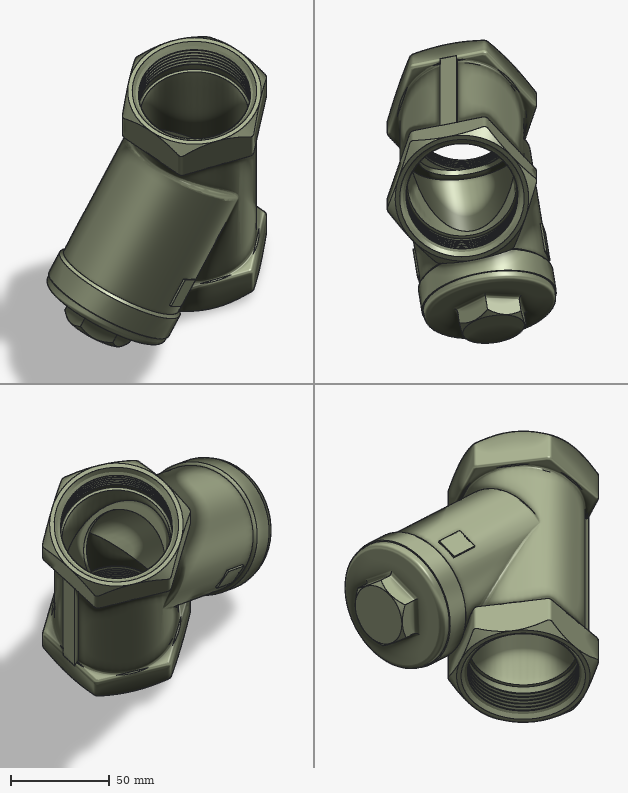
import cadquery as cq
import math

LENGTH = 140.0
PIPE_RADIUS = 31.5
BORE_RADIUS = 27.7
HEX_FLATS = 67.9
UPPER_HEX_HEIGHT = 22.1
LOWER_HEX_HEIGHT = 21.0
HEX_CORNER_FILLET = 2.8
HEX_EDGE_FILLET = 2.1
PIPE_FILLET = 1.4

COUNTERSINK_RADIUS = 31.6
THREAD_CREST_RADIUS = 28.4
THREAD_ROOT_RADIUS = 29.8
THREAD_PITCH = 2.4
THREAD_CREST_WIDTH = 0.5
THREAD_TURNS = 6
RELIEF_RADIUS = 29.3
SOCKET_DEPTH = 20.5

RIB_WIDTH = 8.4
RIB_REACH = 34.0

BRANCH_HEIGHT = 95.6
SEAT_STATION = 8.0
SEAT_THICKNESS = 3.0
SEAT_HOLE_RADIUS = 24.0
BRANCH_RADIUS = 33.0
BRANCH_START = 11.2
BRANCH_START_FILLET = 3.2
BRANCH_FILLET = 1.8
CHAMBER_RADIUS = 29.1
COLLAR_STEP = 1.5
COLLAR_START = 81.5
COLLAR_END = 95.0

LABEL_STATION = 68.5
LABEL_LENGTH = 15.7
LABEL_WIDTH = 11.6
LABEL_REACH = 33.6

CAP_RADIUS = 33.9
CAP_THICKNESS = 5.0
CAP_EDGE_FILLET = 2.5
KEY_FLATS = 32.0
KEY_END_RADIUS = 15.8
KEY_HEIGHT = 10.9
KEY_BASE_FILLET = 2.0

TOLERANCE = 0.001

BRANCH_DIRECTION = cq.Vector(0, -1, -1)
OUTER_END = cq.selectors.DirectionMinMaxSelector(BRANCH_DIRECTION)
INNER_END = cq.selectors.DirectionMinMaxSelector(-BRANCH_DIRECTION)

HEX_CORNERS = HEX_FLATS / math.cos(math.radians(30))
KEY_CORNERS = KEY_FLATS / math.cos(math.radians(30))
COLLAR_RADIUS = BRANCH_RADIUS + COLLAR_STEP
CHAMBER_START = SEAT_STATION + SEAT_THICKNESS


def branch_plane(station):
    """Plane square to the branch axis, at a distance from the pipe axis, facing outward."""
    axis = cq.Plane(origin=(0, 0, BRANCH_HEIGHT), xDir=(1, 0, 0), normal=BRANCH_DIRECTION)
    return cq.Workplane(axis).workplane(offset=station)


def top_to_bottom(shape):
    """The matching shape at the other end of the pipe."""
    return shape.mirror("XY", (0, 0, LENGTH / 2))


def chamfer_cone(end_radius, height):
    """Solid of revolution along +Z whose far end is chamfered at 45 degrees from end_radius."""
    wide = end_radius + height
    profile = cq.Workplane("XZ").polyline([(0, 0), (wide, 0), (end_radius, height), (0, height)])
    return profile.close().revolve(360, (0, 0, 0), (0, 1, 0))


def end_hexagon(height):
    """Hexagon at the top of the pipe, with rounded corners and its outer end chamfered to the flats."""
    hexagon = cq.Workplane("XY", origin=(0, 0, LENGTH - height)).polygon(6, HEX_CORNERS)
    hexagon = hexagon.extrude(height).edges("|Z").fillet(HEX_CORNER_FILLET)
    hexagon = hexagon.faces("<Z").edges().fillet(HEX_EDGE_FILLET)
    cone = chamfer_cone(HEX_FLATS / 2, height).translate((0, 0, LENGTH - height))
    return hexagon.intersect(cone)


def corner_cove(height):
    """Rounded corner between the pipe and the underside of the hexagon at its top."""
    level = LENGTH - height
    rim = PIPE_RADIUS + PIPE_FILLET
    bend = PIPE_FILLET * math.sqrt(0.5)
    profile = (
        cq.Workplane("XZ")
        .moveTo(0, level)
        .lineTo(rim, level)
        .threePointArc((rim - bend, level - PIPE_FILLET + bend), (PIPE_RADIUS, level - PIPE_FILLET))
        .lineTo(0, level - PIPE_FILLET)
        .close()
    )
    return profile.revolve(360, (0, 0, 0), (0, 1, 0))


def branch():
    """Branch barrel, its inner end rounded where it stands proud of the pipe."""
    barrel = branch_plane(BRANCH_START).circle(BRANCH_RADIUS).extrude(COLLAR_END - BRANCH_START)
    return barrel.faces(INNER_END).edges().fillet(BRANCH_START_FILLET)


def pipe_with_branch():
    """Pipe and branch joined, with a fillet all along the joint."""
    joined = cq.Workplane("XY").circle(PIPE_RADIUS).extrude(LENGTH).union(branch())
    joint = [edge for edge in joined.edges().vals() if edge.geomType() in ("BSPLINE", "ELLIPSE")]
    return joined.newObject(joint).fillet(BRANCH_FILLET)


def collar():
    """Thicker ring at the outer end of the branch, chamfered toward the branch."""
    ring = branch_plane(COLLAR_START).circle(COLLAR_RADIUS).extrude(COLLAR_END - COLLAR_START)
    return ring.faces(INNER_END).edges().chamfer(COLLAR_STEP)


def rib():
    """Flat rib down the back of the pipe, from hexagon to hexagon."""
    start = LOWER_HEX_HEIGHT - HEX_EDGE_FILLET
    height = LENGTH - UPPER_HEX_HEIGHT + HEX_EDGE_FILLET - start
    base = cq.Workplane("XY", origin=(0, 0, start))
    return base.center(0, RIB_REACH / 2).rect(RIB_WIDTH, RIB_REACH).extrude(height)


def labels():
    """Raised plates for lettering, as one bar through the branch."""
    bar = branch_plane(LABEL_STATION - LABEL_LENGTH / 2).rect(2 * LABEL_REACH, LABEL_WIDTH)
    return bar.extrude(LABEL_LENGTH)


def threaded_socket():
    """Space of the upper socket: countersink, thread ridges and a plain stretch below them."""
    thread_top = LENGTH - (COUNTERSINK_RADIUS - THREAD_ROOT_RADIUS)
    flank = (THREAD_PITCH - THREAD_CREST_WIDTH) / 2
    points = [(0, LENGTH), (COUNTERSINK_RADIUS, LENGTH), (THREAD_ROOT_RADIUS, thread_top)]
    for turn in range(THREAD_TURNS):
        start = thread_top - turn * THREAD_PITCH
        points += [
            (THREAD_CREST_RADIUS, start - flank),
            (THREAD_CREST_RADIUS, start - flank - THREAD_CREST_WIDTH),
            (THREAD_ROOT_RADIUS, start - THREAD_PITCH),
        ]
    thread_bottom = thread_top - THREAD_TURNS * THREAD_PITCH
    socket_floor = LENGTH - SOCKET_DEPTH
    points += [(RELIEF_RADIUS, thread_bottom), (RELIEF_RADIUS, socket_floor), (0, socket_floor)]
    return cq.Workplane("XZ").polyline(points).close().revolve(360, (0, 0, 0), (0, 1, 0))


def cavity():
    """All the inside space: bore and chamber on either side of the seat wall, and the sockets."""
    bore = cq.Workplane("XY").circle(BORE_RADIUS).extrude(LENGTH)
    seat_wall = branch_plane(SEAT_STATION).rect(2 * LENGTH, 2 * LENGTH).extrude(SEAT_THICKNESS)
    seat_hole = branch_plane(SEAT_STATION).circle(SEAT_HOLE_RADIUS).extrude(SEAT_THICKNESS)
    chamber = branch_plane(CHAMBER_START).circle(CHAMBER_RADIUS).extrude(COLLAR_END - CHAMBER_START)
    socket = threaded_socket()
    space = bore.cut(seat_wall).union(seat_hole).union(chamber)
    return space.union(socket).union(top_to_bottom(socket))


def make_body():
    """Housing: pipe, hexagon ends, branch and rib, hollowed out around the seat wall."""
    upper_hexagon = end_hexagon(UPPER_HEX_HEIGHT).union(corner_cove(UPPER_HEX_HEIGHT))
    lower_hexagon = top_to_bottom(end_hexagon(LOWER_HEX_HEIGHT).union(corner_cove(LOWER_HEX_HEIGHT)))
    solid = pipe_with_branch().union(lower_hexagon, tol=TOLERANCE)
    solid = solid.union(upper_hexagon).union(rib()).union(collar()).union(labels())
    return solid.cut(cavity())


def make_cap():
    """Cap closing the branch: a round flange with a chamfered hexagon to turn it by."""
    cap_end = COLLAR_END + CAP_THICKNESS
    flange = branch_plane(COLLAR_END).circle(CAP_RADIUS).extrude(CAP_THICKNESS)
    flange = flange.faces(OUTER_END).edges().fillet(CAP_EDGE_FILLET)
    key = branch_plane(cap_end).transformed(rotate=(0, 0, 90)).polygon(6, KEY_CORNERS).extrude(KEY_HEIGHT)
    cone = branch_plane(cap_end + KEY_HEIGHT).circle(KEY_END_RADIUS).extrude(-KEY_HEIGHT, taper=-45)
    cap = flange.union(key.intersect(cone))
    face_middle = branch_plane(cap_end).plane.origin
    base = [
        edge
        for edge in cap.edges("%LINE").vals()
        if abs((edge.Center() - face_middle).dot(BRANCH_DIRECTION)) < TOLERANCE
    ]
    return cap.newObject(base).fillet(KEY_BASE_FILLET)


body = make_body()
cap = make_cap()
result = cq.Compound.makeCompound([body.val(), cap.val()])